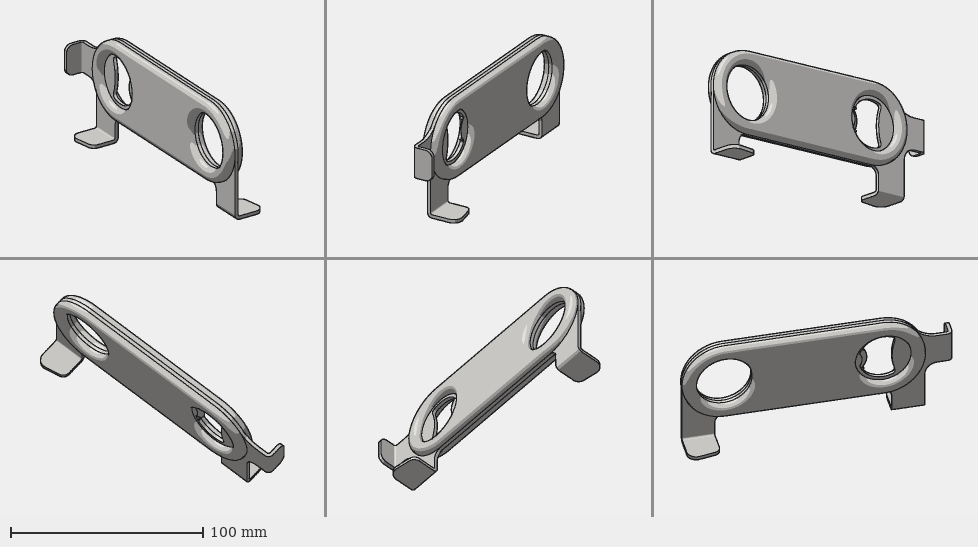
import cadquery as cq
import math


LENGTH = 145.0
HEIGHT = 60.0
DEPTH = 34.1

END_RADIUS = 22.5
RING_SPACING = 85.0
RIGHT_X = LENGTH - END_RADIUS
LEFT_X = RIGHT_X - RING_SPACING
RING_Z = HEIGHT - END_RADIUS
BODY_LEFT = LEFT_X - END_RADIUS
BODY_BOTTOM = RING_Z - END_RADIUS

OPENING_DIAMETER = 30.0
COVER_THICKNESS = 4.0
COVER_FILLET = 3.0

SHEET = 2.0
BEND_INNER = 1.0
BEND_OUTER = BEND_INNER + SHEET
TAB_WIDTH = 17.5

FOOT_FILLET = 5.0
TAB_LOWER_FILLET = 6.5
TAB_UPPER_FILLET = 15.0

FOOT_REACH = DEPTH / 2
FOOT_TILT = math.radians(10.0)
FOOT_LONG_CORNER = 5.0
FOOT_SHORT_CORNER = 4.0

SIDE_REACH = 11.0
SIDE_CORNER = 4.0

OPENER_RADIUS = 13.0
BACK_EDGE_RADIUS = 30.0
BACK_EDGE_OFFSET = -5.0
LIP_RADIUS = 10.0
LIP_OFFSET = 8.1
LIP_BEVEL = 3.0
OPENER_CORNER = 2.0


def disc(x, radius):
    """Round cutter along Y on the ring height, reaching through the whole sheet."""
    return cq.Workplane("XZ").center(x, RING_Z).circle(radius).extrude(SHEET, both=True)


def opener_cutter():
    """Round cutter bitten by a shallow back edge and a bulging lip, with rounded corners."""
    cutter = disc(LEFT_X, OPENER_RADIUS)
    cutter = cutter.cut(disc(LEFT_X + BACK_EDGE_OFFSET - BACK_EDGE_RADIUS, BACK_EDGE_RADIUS))
    cutter = cutter.cut(disc(LEFT_X + LIP_OFFSET + LIP_RADIUS, LIP_RADIUS))
    return cutter.edges("|Y").fillet(OPENER_CORNER)


def lip_bevel():
    """Conical cutter that thins the lip from the back face down to an edge at the front face."""
    lip_x = LEFT_X + LIP_OFFSET + LIP_RADIUS
    ring = (
        cq.Workplane("XY", origin=(lip_x, 0, RING_Z))
        .polyline([
            (LIP_RADIUS, -SHEET / 2),
            (LIP_RADIUS, SHEET / 2),
            (LIP_RADIUS - LIP_BEVEL, SHEET / 2),
        ])
        .close()
        .revolve(360, (0, 0), (0, 1))
    )
    return ring.intersect(disc(LEFT_X, OPENER_RADIUS))


def flat_plate():
    """Flat part of the plate, ending at the bend lines of its three tabs."""
    tab_top = RING_Z + TAB_WIDTH / 2
    tab_bottom = RING_Z - TAB_WIDTH / 2
    left_foot_inner = BODY_LEFT + TAB_WIDTH
    right_foot_inner = LENGTH - TAB_WIDTH

    fillet_z = tab_top + TAB_UPPER_FILLET
    centre_distance = END_RADIUS + TAB_UPPER_FILLET
    touch_angle = math.asin((fillet_z - RING_Z) / centre_distance)
    fillet_x = LEFT_X - centre_distance * math.cos(touch_angle)
    touch_x = LEFT_X - END_RADIUS * math.cos(touch_angle)
    touch_z = RING_Z + END_RADIUS * math.sin(touch_angle)

    outline = (
        cq.Workplane("XZ")
        .moveTo(BEND_OUTER, tab_top)
        .lineTo(fillet_x, tab_top)
        .radiusArc((touch_x, touch_z), -TAB_UPPER_FILLET)
        .radiusArc((LEFT_X, HEIGHT), END_RADIUS)
        .lineTo(RIGHT_X, HEIGHT)
        .radiusArc((LENGTH, RING_Z), END_RADIUS)
        .lineTo(LENGTH, BEND_OUTER)
        .lineTo(right_foot_inner, BEND_OUTER)
        .lineTo(right_foot_inner, BODY_BOTTOM - FOOT_FILLET)
        .radiusArc((right_foot_inner - FOOT_FILLET, BODY_BOTTOM), -FOOT_FILLET)
        .lineTo(left_foot_inner + FOOT_FILLET, BODY_BOTTOM)
        .radiusArc((left_foot_inner, BODY_BOTTOM - FOOT_FILLET), -FOOT_FILLET)
        .lineTo(left_foot_inner, BEND_OUTER)
        .lineTo(BODY_LEFT, BEND_OUTER)
        .lineTo(BODY_LEFT, tab_bottom - TAB_LOWER_FILLET)
        .radiusArc((BODY_LEFT - TAB_LOWER_FILLET, tab_bottom), -TAB_LOWER_FILLET)
        .lineTo(BEND_OUTER, tab_bottom)
        .close()
    )
    plate = outline.extrude(SHEET / 2, both=True)
    plate = plate.cut(opener_cutter()).cut(lip_bevel())
    return plate.cut(disc(RIGHT_X, OPENING_DIAMETER / 2))


def bend_profile(workplane, reach):
    """Bend and leg: local x runs along the leg (to -reach), local y back up to the plate."""
    return (
        workplane.moveTo(SHEET / 2, BEND_OUTER)
        .radiusArc((SHEET / 2 - BEND_OUTER, 0), BEND_OUTER)
        .lineTo(-reach, 0)
        .lineTo(-reach, SHEET)
        .lineTo(SHEET / 2 - BEND_OUTER, SHEET)
        .radiusArc((-SHEET / 2, BEND_OUTER), -BEND_INNER)
        .close()
    )


def front_foot():
    """Left foot, bent towards -Y, with a slanted end and two rounded corners."""
    bent = bend_profile(cq.Workplane("YZ", origin=(BODY_LEFT, 0, 0)), FOOT_REACH).extrude(TAB_WIDTH)

    slope = math.tan(FOOT_TILT)
    overhang = FOOT_LONG_CORNER * (1 / math.cos(FOOT_TILT) + slope - 1)
    long_y = -FOOT_REACH - overhang
    short_y = long_y + TAB_WIDTH * slope
    blank = (
        cq.Workplane("XY")
        .polyline([
            (BODY_LEFT, SHEET),
            (BODY_LEFT, long_y),
            (BODY_LEFT + TAB_WIDTH, short_y),
            (BODY_LEFT + TAB_WIDTH, SHEET),
        ])
        .close()
        .extrude(BEND_OUTER)
    )
    blank = blank.edges("|Z").edges(">X").edges("<Y").fillet(FOOT_SHORT_CORNER)
    blank = blank.edges("|Z").edges("<X").edges("<Y").fillet(FOOT_LONG_CORNER)
    return bent.intersect(blank)


def back_foot():
    """Right foot: the front foot turned half a turn about the middle of the body."""
    middle_x = (BODY_LEFT + LENGTH) / 2
    return front_foot().rotate((middle_x, 0, 0), (middle_x, 0, 1), 180)


def side_tab():
    """Left tab, bent towards -Y, with two rounded corners."""
    plane = cq.Plane(origin=(0, 0, RING_Z), xDir=(0, 1, 0), normal=(0, 0, -1))
    tab = bend_profile(cq.Workplane(plane), SIDE_REACH).extrude(TAB_WIDTH / 2, both=True)
    return tab.edges("|X").edges("<Y").fillet(SIDE_CORNER)


def make_plate():
    """Sheet-metal plate with its two feet and side tab as one solid."""
    plate = flat_plate()
    for tab in (front_foot(), back_foot(), side_tab()):
        plate = plate.union(tab)
    return plate


def make_cover(side):
    """Stadium cover with two openings on the front (side = -1) or back (side = 1) of the plate."""
    plane = cq.Plane(origin=(0, side * SHEET / 2, 0), xDir=(1, 0, 0), normal=(0, -1, 0))
    cover = (
        cq.Workplane(plane)
        .center((LEFT_X + RIGHT_X) / 2, RING_Z)
        .slot2D(RING_SPACING + 2 * END_RADIUS, 2 * END_RADIUS)
        .pushPoints([(-RING_SPACING / 2, 0), (RING_SPACING / 2, 0)])
        .circle(OPENING_DIAMETER / 2)
        .extrude(-side * COVER_THICKNESS)
    )
    outer_face = "<Y" if side < 0 else ">Y"
    return cover.faces(outer_face).edges().fillet(COVER_FILLET)


plate = make_plate()
covers = [make_cover(side) for side in (-1, 1)]

result = cq.Compound.makeCompound([plate.val(), *[cover.val() for cover in covers]])